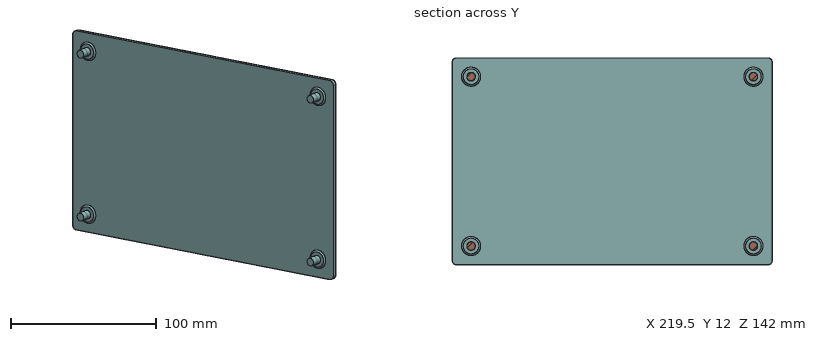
import cadquery as cq

plate_width = 219.5
plate_height = 142.0
plate_thickness = 3.0
corner_radius = 3.0

peg_inset = 13.0
peg_length = 9.0
collar_base_diameter = 13.2
collar_top_diameter = 10.8
collar_height = 1.0
shank_diameter = 6.0
shank_length = 4.0
tip_diameter = 5.5


def make_plate():
    """Flat plate with rounded corners, its front face on Y = 0."""
    return (
        cq.Workplane("XZ")
        .rect(plate_width, plate_height)
        .extrude(-plate_thickness)
        .edges("|Y")
        .fillet(corner_radius)
    )


def make_peg(x, z):
    """Peg with a conical collar, a straight shank and a tapered end, pointing toward -Y."""
    shank_end = collar_height + shank_length
    profile = [
        (0, 0),
        (collar_base_diameter / 2, 0),
        (collar_top_diameter / 2, -collar_height),
        (shank_diameter / 2, -collar_height),
        (shank_diameter / 2, -shank_end),
        (tip_diameter / 2, -peg_length),
        (0, -peg_length),
    ]
    peg = cq.Workplane("XY").polyline(profile).close().revolve(360, (0, 0), (0, 1))
    return peg.translate((x, 0, z))


result = make_plate()
peg_x = plate_width / 2 - peg_inset
peg_z = plate_height / 2 - peg_inset
for x in (-peg_x, peg_x):
    for z in (-peg_z, peg_z):
        result = result.union(make_peg(x, z))